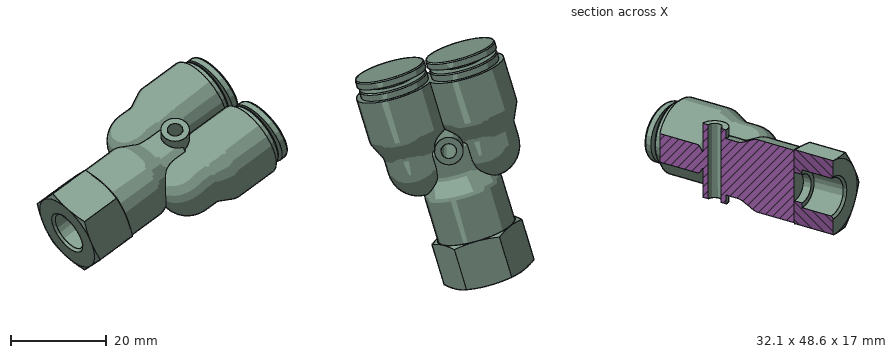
import cadquery as cq
import math

total_length = 48.6
total_height = 17.0

barrel_diameter = 16.7
barrel_length = 10.0
neck_diameter = 13.02
taper_length = 4.0
taper_round = 1.8
stem_neck_length = 5.5
stem_end_round = 0.87
port_neck_length = 3.55
port_offset = 7.7
port_face_y = 44.55

boss_diameter = 6.0
boss_hole_diameter = 3.2
boss_y = 30.5

nut_length = 10.0
nut_across_flats = total_height
nut_corner_bevel = 0.45
nut_bore_diameter = 8.55
nut_bore_depth = 8.0
nut_bore_mouth = 9.6
nut_pilot_diameter = 6.4

collar_diameter = 14.7
collar_length = 1.65
button_width = 15.0
button_height = 13.02
button_flange_thickness = 1.6
button_stem_diameter = 9.6
rim_bevel_axial = 0.3
rim_bevel_radial = 0.17

collar_face_y = port_face_y + collar_length
button_flange_y = total_length - button_flange_thickness
port_centers = (-port_offset, port_offset)


def disc(diameter, y_start, y_end, x=0.0):
    """Cylinder along Y between two planes."""
    plane = cq.Plane(origin=(x, y_start, 0), xDir=(1, 0, 0), normal=(0, 1, 0))
    return cq.Workplane(plane).circle(diameter / 2).extrude(y_end - y_start)


def lobe(neck_length, end_round):
    """Barrel starting at Y = 0, tapering along +Y to a neck whose end is rounded off."""
    barrel_radius = barrel_diameter / 2
    neck_radius = neck_diameter / 2
    taper_end = barrel_length + taper_length
    round_start = taper_end + neck_length
    flat_radius = neck_radius - end_round
    arc_mid = end_round * math.sqrt(0.5)
    end_y = round_start + end_round
    profile = (
        cq.Workplane("XY")
        .lineTo(barrel_radius, 0)
        .lineTo(barrel_radius, barrel_length)
        .lineTo(neck_radius, taper_end)
        .lineTo(neck_radius, round_start)
        .threePointArc((flat_radius + arc_mid, round_start + arc_mid), (flat_radius, end_y))
    )
    if flat_radius > 0:
        profile = profile.lineTo(0, end_y)
    solid = profile.close().revolve(360, (0, 0, 0), (0, 1, 0))
    margin = 0.5
    box_low = (-margin, barrel_length - margin, -margin)
    box_high = (margin, taper_end + margin, margin)
    taper_edges = cq.selectors.BoxSelector(box_low, box_high)
    return solid.edges(taper_edges).fillet(taper_round)


def make_housing():
    housing = lobe(stem_neck_length, stem_end_round).translate((0, nut_length, 0))
    port_lobe = lobe(port_neck_length, neck_diameter / 2).rotate((0, 0, 0), (0, 0, 1), 180)
    for x in port_centers:
        housing = housing.union(port_lobe.translate((x, port_face_y, 0)))

    bottom = cq.Workplane("XY", origin=(0, boss_y, -total_height / 2))
    boss = bottom.circle(boss_diameter / 2).extrude(total_height)
    hole = bottom.circle(boss_hole_diameter / 2).extrude(total_height)
    return housing.union(boss).cut(hole)


def make_nut():
    corner_radius = nut_across_flats / math.sqrt(3)
    flat_radius = nut_across_flats / 2
    hexagon = cq.Workplane("XZ").polygon(6, 2 * corner_radius).extrude(-nut_length)
    turned_blank = (
        cq.Workplane("XY")
        .lineTo(flat_radius, 0)
        .lineTo(corner_radius, nut_corner_bevel)
        .lineTo(corner_radius, nut_length - nut_corner_bevel)
        .lineTo(flat_radius, nut_length)
        .lineTo(0, nut_length)
        .close()
        .revolve(360, (0, 0, 0), (0, 1, 0))
    )
    bore_radius = nut_bore_diameter / 2
    mouth_radius = nut_bore_mouth / 2
    pilot_radius = nut_pilot_diameter / 2
    bore = (
        cq.Workplane("XY")
        .lineTo(mouth_radius, 0)
        .lineTo(bore_radius, mouth_radius - bore_radius)
        .lineTo(bore_radius, nut_bore_depth)
        .lineTo(pilot_radius, nut_bore_depth)
        .lineTo(pilot_radius, nut_length)
        .lineTo(0, nut_length)
        .close()
        .revolve(360, (0, 0, 0), (0, 1, 0))
    )
    return hexagon.intersect(turned_blank).cut(bore)


def make_collar(x):
    collar = disc(collar_diameter, port_face_y, collar_face_y, x)
    return collar.faces(">Y").chamfer(rim_bevel_axial, rim_bevel_radial)


def make_button(x):
    """Oval thumb flange on a round stem that stands on the collar."""
    stem = disc(button_stem_diameter, collar_face_y, button_flange_y, x)
    flange = (
        cq.Workplane("XZ", origin=(x, button_flange_y, 0))
        .ellipse(button_width / 2, button_height / 2)
        .extrude(-button_flange_thickness)
        .faces(">Y")
        .chamfer(rim_bevel_axial, rim_bevel_radial)
    )
    return stem.union(flange)


housing = make_housing()
nut = make_nut()
collars = [make_collar(x) for x in port_centers]
buttons = [make_button(x) for x in port_centers]

result = cq.Compound.makeCompound(
    [housing.val(), nut.val()]
    + [collar.val() for collar in collars]
    + [button.val() for button in buttons]
)